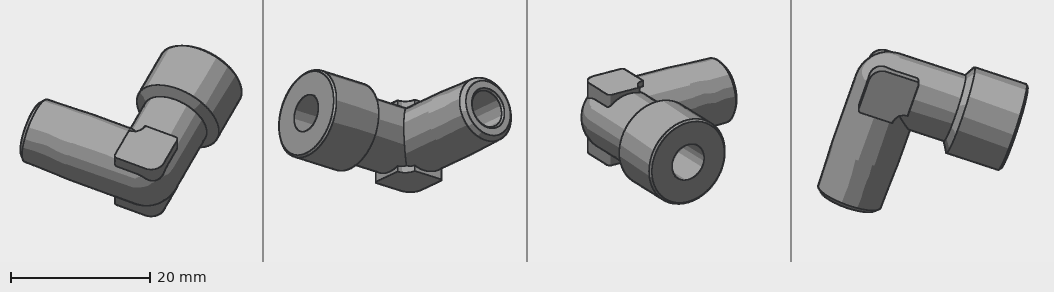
import cadquery as cq

collar_diameter = 13.0
collar_radius = collar_diameter / 2
overall_x = 24.5
overall_y = 24
pipe_radius = 10.0 / 2
bore_radius = 5.5 / 2
spigot_length = overall_x - collar_radius
socket_length = overall_y - pipe_radius

taper_length = 7.45
tip_radius = 9.58 / 2
face_radius = 8.25 / 2
tip_chamfer = 0.61
bore_chamfer = 0.3

neck_length = 10.0
collar_cone_length = 0.88
collar_chamfer = 0.3

pad_side = 7.0
pad_height = 11.1
notch_radius = 1.75
small_corner_radius = 0.5
outer_corner_radius = 2.0


def make_spigot():
    """Body of revolution about X, from the elbow to the tapered tip."""
    profile = [
        (0, 0),
        (0, pipe_radius),
        (taper_length - spigot_length, pipe_radius),
        (tip_chamfer - spigot_length, tip_radius),
        (-spigot_length, face_radius),
        (-spigot_length, 0),
    ]
    return cq.Workplane("XY").polyline(profile).close().revolve(360, (0, 0), (1, 0))


def make_socket():
    """Body of revolution about Y, from the elbow to the collar end."""
    profile = [
        (0, 0),
        (pipe_radius, 0),
        (pipe_radius, neck_length),
        (collar_radius, neck_length + collar_cone_length),
        (collar_radius, socket_length - collar_chamfer),
        (collar_radius - collar_chamfer, socket_length),
        (0, socket_length),
    ]
    return cq.Workplane("XY").polyline(profile).close().revolve(360, (0, 0), (0, 1))


def make_pads():
    """Square block with rounded corners and a notch at the inside of the elbow."""
    half = pad_side / 2
    block = cq.Workplane("XY").box(pad_side, pad_side, pad_height)
    block = block.edges("|Z").edges("<(1,1,0) or >(1,1,0)").fillet(small_corner_radius)
    block = block.edges("|Z").edges(">(1,-1,0)").fillet(outer_corner_radius)
    notch = cq.Workplane("XY").center(-half, half).circle(notch_radius).extrude(pad_height, both=True)
    return block.cut(notch)


def make_bore():
    """Elbow passage with a rounded corner and a chamfered mouth at the spigot tip."""
    spigot_bore = cq.Workplane("YZ").circle(bore_radius).extrude(-spigot_length)
    socket_bore = cq.Workplane("XZ").circle(bore_radius).extrude(-socket_length)
    corner = cq.Workplane("XY").sphere(bore_radius)
    mouth_profile = [
        (-spigot_length, 0),
        (-spigot_length, bore_radius + bore_chamfer),
        (bore_chamfer - spigot_length, bore_radius),
        (bore_chamfer - spigot_length, 0),
    ]
    mouth = cq.Workplane("XY").polyline(mouth_profile).close().revolve(360, (0, 0), (1, 0))
    return spigot_bore.union(socket_bore).union(corner).union(mouth)


elbow_corner = cq.Workplane("XY").sphere(pipe_radius)
body = make_spigot().union(make_socket()).union(elbow_corner).union(make_pads())
result = body.cut(make_bore())